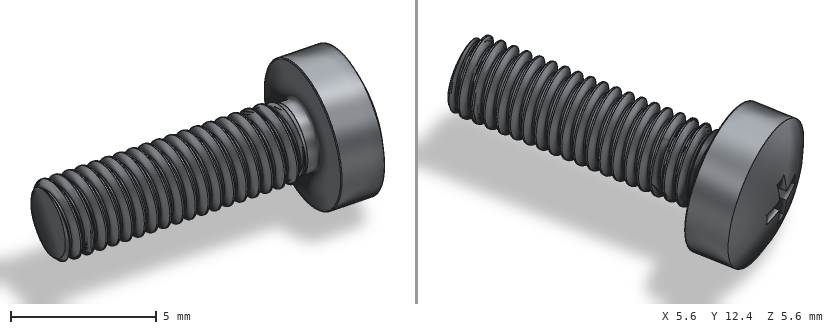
import cadquery as cq
import math

overall_length = 12.38

head_radius = 2.8
head_height = 2.38
dome_height = 0.67
head_edge_chamfer = 0.04
rim_height = head_height - dome_height

recess_span = 2.08
recess_arm_width = 0.5
recess_depth = 0.99

shank_length = overall_length - head_height
neck_diameter = 2.66
neck_radius = neck_diameter / 2
neck_length = 0.51
thread_length = shank_length - neck_length
neck_fillet = 0.1

thread_diameter = 3.0
thread_radius = thread_diameter / 2
thread_pitch = thread_diameter / 6
thread_depth = 0.31
root_radius = thread_radius - thread_depth
crest_flat = thread_pitch / 8
flank_half_angle = math.radians(30)
tip_chamfer = 0.2
lead_in_length = 0.42
runout_length = 0.15
lowest_crest = 0.02
core_overlap = 0.01
envelope_clearance = 0.06
turns_below_tip = 2
ridge_turns = 22

corner_radius = recess_arm_width / math.sqrt(2)
sphere_center = (head_height + rim_height - (head_radius**2 - corner_radius**2) / dome_height) / 2
sphere_radius = math.hypot(head_radius, rim_height - sphere_center)
apex_height = sphere_center + sphere_radius


def make_head():
    """Domed head with a small chamfer on the bearing edge."""
    half_angle = math.asin(head_radius / sphere_radius) / 2
    dome_middle = (
        sphere_radius * math.sin(half_angle),
        sphere_center + sphere_radius * math.cos(half_angle),
    )
    profile = (
        cq.Workplane("XY")
        .lineTo(head_radius - head_edge_chamfer, 0)
        .lineTo(head_radius, head_edge_chamfer)
        .lineTo(head_radius, rim_height)
        .threePointArc(dome_middle, (0, apex_height))
        .close()
    )
    return profile.revolve(360, (0, 0, 0), (0, 1, 0))


def make_recess():
    """Cross-shaped pocket with straight walls, open at the top of the head."""
    floor = head_height - recess_depth
    height = apex_height - floor
    arm = cq.Workplane("XY").box(recess_span, height, recess_arm_width)
    arm = arm.translate((0, floor + height / 2, 0))
    return arm.union(arm.rotate((0, 0, 0), (0, 1, 0), 90))


def make_neck():
    """Plain neck, filleted into the bearing face and reaching into the thread run-out."""
    fillet_offset = neck_fillet * (1 - math.sqrt(0.5))
    neck_end = -neck_length - runout_length
    profile = (
        cq.Workplane("XY")
        .lineTo(neck_radius + neck_fillet, 0)
        .threePointArc((neck_radius + fillet_offset, -fillet_offset), (neck_radius, -neck_fillet))
        .lineTo(neck_radius, neck_end)
        .lineTo(0, neck_end)
        .close()
    )
    return profile.revolve(360, (0, 0, 0), (0, 1, 0))


def make_thread_envelope():
    """Body that trims the ends of the thread: chamfer cone at the tip, long cone at the neck."""
    lead_in_slope = lead_in_length / (thread_radius - neck_radius)
    envelope_radius = thread_radius + envelope_clearance
    upper_cone_start = thread_length - lead_in_slope * (envelope_radius - neck_radius)
    profile = (
        cq.Workplane("XZ", origin=(0, 0, -shank_length))
        .lineTo(thread_radius - tip_chamfer, 0)
        .lineTo(envelope_radius, tip_chamfer + envelope_clearance)
        .lineTo(envelope_radius, upper_cone_start)
        .lineTo(neck_radius, thread_length)
        .lineTo(0, thread_length)
        .close()
    )
    return profile.revolve(360, (0, 0, 0), (0, 1, 0))


def make_ridge():
    """Trapezoidal helical ridge, bounded by ruled faces between its four corner helices."""
    inner_radius = root_radius - core_overlap
    half_crest = crest_flat / 2
    half_base = half_crest + (thread_radius - inner_radius) * math.tan(flank_half_angle)
    ridge_start = lowest_crest - shank_length - turns_below_tip * thread_pitch
    corners = [
        (inner_radius, -half_base),
        (thread_radius, -half_crest),
        (thread_radius, half_crest),
        (inner_radius, half_base),
    ]
    ridge_height = ridge_turns * thread_pitch
    helices = []
    for radius, offset in corners:
        start_center = cq.Vector(0, 0, ridge_start + offset)
        helices.append(cq.Wire.makeHelix(thread_pitch, ridge_height, radius, start_center))
    faces = []
    for lower, upper in zip(helices, helices[1:] + helices[:1]):
        faces.extend(cq.Face.makeRuledSurface(lower, upper).Faces())
    for end in (cq.Wire.startPoint, cq.Wire.endPoint):
        cap = cq.Wire.makePolygon([end(helix) for helix in helices], close=True)
        faces.append(cq.Face.makeFromWires(cap))
    return cq.Workplane(obj=cq.Solid.makeSolid(cq.Shell.makeShell(faces)))


def make_thread():
    """Core with a helical ridge trimmed by the envelope, built along Z and turned onto Y."""
    core = cq.Workplane("XY", origin=(0, 0, -shank_length)).circle(root_radius).extrude(thread_length)
    thread = core.union(make_ridge().intersect(make_thread_envelope()))
    return thread.rotate((0, 0, 0), (1, 0, 0), -90)


head = make_head().cut(make_recess())
result = make_thread().union(make_neck()).union(head)